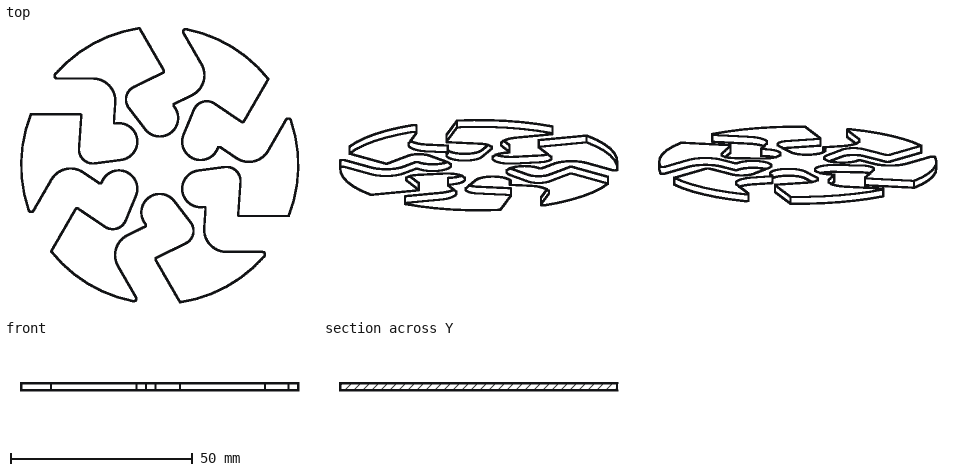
import cadquery as cq
import math

outer_radius = 38.1
thickness = 2.0
slot_count = 6

entry_bottom = 14.0
entry_top = 23.8
entry_overrun = 7.6

heel_x = -21.5
bend_width = 9.0
wall_lean = math.radians(4.0)

pocket_radius = 5.0
pocket_distance = 12.95
pocket_angle = math.radians(150.0)
floor_slope = math.radians(7.5)

entry_bend_radius = 6.1
floor_bend_radius = 3.8
small_corner_radius = 0.45
blade_tip_radius = 0.75


def wall_x(wall_start_x, y):
    """X of a leaning wall that passes through wall_start_x at the entry bottom."""
    return wall_start_x + (y - entry_bottom) * math.tan(wall_lean)


def round_corner(body, point, radius):
    """Round the vertical edge that passes through a corner of the plan outline."""
    mid_edge = (point[0], point[1], thickness / 2)
    return body.edges("|Z").edges(cq.selectors.NearestToPointSelector(mid_edge)).fillet(radius)


def rotate_point(point, degrees):
    angle = math.radians(degrees)
    x, y = point
    return (x * math.cos(angle) - y * math.sin(angle), x * math.sin(angle) + y * math.cos(angle))


pocket_x = pocket_distance * math.cos(pocket_angle)
pocket_y = pocket_distance * math.sin(pocket_angle)


def pocket_point(angle):
    return (pocket_x + pocket_radius * math.cos(angle), pocket_y + pocket_radius * math.sin(angle))


def make_slot():
    mouth_x = -outer_radius - entry_overrun
    heel = (heel_x, entry_bottom)
    inner_start_x = heel_x + bend_width / math.cos(wall_lean)
    entry_corner = (wall_x(inner_start_x, entry_top), entry_top)

    floor_angle = floor_slope - math.pi / 2
    floor_end = pocket_point(floor_angle)

    lean = math.tan(wall_lean)
    slope = math.tan(floor_slope)
    floor_y_at_heel = floor_end[1] + slope * (heel_x - floor_end[0])
    corner_y = (floor_y_at_heel - slope * lean * entry_bottom) / (1 - slope * lean)
    floor_corner = (wall_x(heel_x, corner_y), corner_y)

    wall_offset = (wall_x(inner_start_x, pocket_y) - pocket_x) * math.cos(wall_lean)
    spur_angle = math.acos(wall_offset / pocket_radius) - wall_lean
    spur = pocket_point(spur_angle)
    pocket_middle = pocket_point((floor_angle + spur_angle) / 2)

    slot = (
        cq.Workplane("XY")
        .moveTo(mouth_x, entry_bottom)
        .lineTo(*heel)
        .lineTo(*floor_corner)
        .lineTo(*floor_end)
        .threePointArc(pocket_middle, spur)
        .lineTo(*entry_corner)
        .lineTo(mouth_x, entry_top)
        .close()
        .extrude(thickness)
    )
    slot = round_corner(slot, heel, small_corner_radius)
    slot = round_corner(slot, floor_corner, floor_bend_radius)
    slot = round_corner(slot, spur, small_corner_radius)
    return round_corner(slot, entry_corner, entry_bend_radius)


slot_angles = [index * 360 / slot_count for index in range(slot_count)]
slot = make_slot()
result = cq.Workplane("XY").circle(outer_radius).extrude(thickness)
for angle in slot_angles:
    result = result.cut(slot.rotate((0, 0, 0), (0, 0, 1), angle))

blade_tip = (-math.sqrt(outer_radius**2 - entry_top**2), entry_top)
for angle in slot_angles:
    result = round_corner(result, rotate_point(blade_tip, angle), blade_tip_radius)